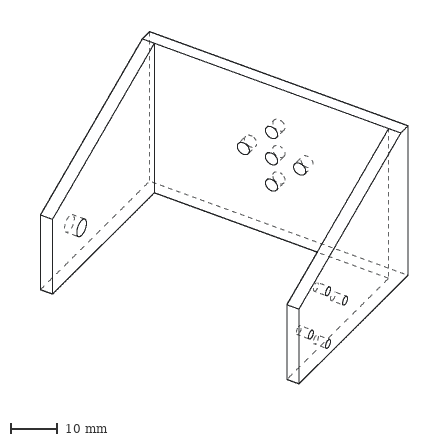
import cadquery as cq

width = 64.5
depth = 45.0
height = 40.0
thickness = 3.0
front_height = height / 2

hole_spacing = 7.0
back_hole_diameter = 3.0
back_center_z = 20.5
pivot_diameter = 4.0
side_hole_diameter = 2.0
side_center_y = 12.0
side_center_z = 10.0

inner_back_y = depth - thickness
cross_offsets = [
    (hole_spacing, 0),
    (-hole_spacing, 0),
    (0, hole_spacing),
    (0, -hole_spacing),
]


def side_plate(start_x):
    """Plate along Y whose top edge slopes down toward the open front."""
    outline = [
        (0, 0),
        (inner_back_y, 0),
        (inner_back_y, height),
        (0, front_height),
    ]
    return cq.Workplane("YZ", origin=(start_x, 0, 0)).polyline(outline).close().extrude(thickness)


def side_holes(start_x, points, diameter):
    """Cutters through one side plate, at points measured from the pivot axis."""
    plane = cq.Workplane("YZ", origin=(start_x, side_center_y, side_center_z))
    return plane.pushPoints(points).circle(diameter / 2).extrude(thickness)


def back_holes():
    """Cutters through the back plate: one centre hole and four around it."""
    plane = cq.Workplane("XZ", origin=(0, depth, back_center_z))
    points = [(0, 0)] + cross_offsets
    return plane.pushPoints(points).circle(back_hole_diameter / 2).extrude(thickness)


left_x = -width / 2
right_x = width / 2 - thickness

back_plate = cq.Workplane("XY").box(width, thickness, height, centered=(True, False, False))
back_plate = back_plate.translate((0, inner_back_y, 0))

result = back_plate.union(side_plate(left_x)).union(side_plate(right_x))
result = result.cut(back_holes())
result = result.cut(side_holes(left_x, [(0, 0)], pivot_diameter))
result = result.cut(side_holes(right_x, cross_offsets, side_hole_diameter))